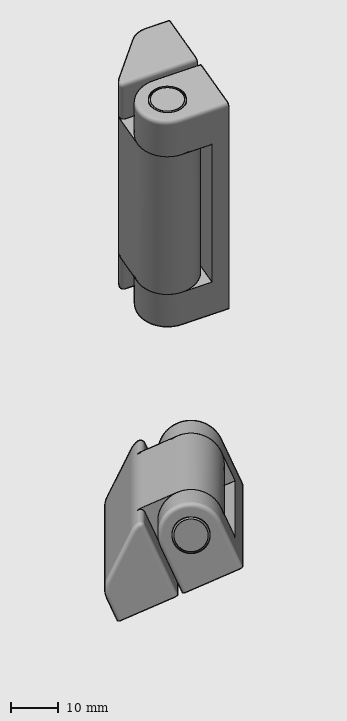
import cadquery as cq
import math

height = 60.0
depth = 18.0
leaf_width = 42 / 3
leaf_gap = leaf_width / 14
edge_radius = leaf_gap

knuckle_radius = leaf_width / 2
end_knuckle_height = height / 6
middle_height = height - 2 * end_knuckle_height
pivot_x = leaf_width + leaf_gap + knuckle_radius
pivot_y = knuckle_radius
knuckle_back = 2 * knuckle_radius

slope_angle = math.radians(40)
corner_radius = 5.0

pin_radius = 4.0
pin_chamfer = 0.4


def cover_profile(start_z, length):
    """Prism of the cover leaf: a sloping front with a tangent arc at each end."""
    cos_slope = math.cos(slope_angle)
    sin_slope = math.sin(slope_angle)
    half_turn = slope_angle / 2
    front_x = leaf_width - corner_radius * sin_slope
    front_y = corner_radius * (1 - cos_slope)
    side_x = corner_radius * (1 - sin_slope)
    side_y = front_y + (front_x - side_x) * math.tan(slope_angle)
    side_center_y = side_y + corner_radius * cos_slope
    side_mid_angle = (math.pi / 2 - slope_angle) / 2
    side_mid = (
        corner_radius * (1 - math.cos(side_mid_angle)),
        side_center_y - corner_radius * math.sin(side_mid_angle),
    )
    front_mid = (
        leaf_width - corner_radius * math.sin(half_turn),
        corner_radius * (1 - math.cos(half_turn)),
    )
    return (
        cq.Workplane("XY", origin=(0, 0, start_z))
        .moveTo(0, depth)
        .lineTo(0, side_center_y)
        .threePointArc(side_mid, (side_x, side_y))
        .lineTo(front_x, front_y)
        .threePointArc(front_mid, (leaf_width, 0))
        .lineTo(leaf_width, depth)
        .close()
        .extrude(length)
    )


def round_ends(body):
    """Round the top and bottom rims, leaving the flat back edges sharp."""
    return body.faces("<Z or >Z").edges("not >Y").fillet(edge_radius)


def pin_hole():
    return cq.Workplane("XY", origin=(pivot_x, pivot_y, 0)).circle(pin_radius).extrude(height)


def middle_knuckle():
    """Knuckle with a web to the cover leaf and a concave fillet behind the web."""
    fillet_end_x = leaf_width + edge_radius
    fillet_mid = (
        fillet_end_x - edge_radius * math.cos(math.pi / 4),
        knuckle_back + edge_radius * (1 - math.sin(math.pi / 4)),
    )
    return (
        cq.Workplane("XY", origin=(0, 0, end_knuckle_height))
        .moveTo(leaf_width, 0)
        .lineTo(pivot_x, 0)
        .threePointArc((pivot_x + knuckle_radius, pivot_y), (pivot_x, knuckle_back))
        .lineTo(fillet_end_x, knuckle_back)
        .threePointArc(fillet_mid, (leaf_width, knuckle_back + edge_radius))
        .close()
        .extrude(middle_height)
    )


def make_cover_leaf():
    front_corner = cq.selectors.NearestToPointSelector((leaf_width, 0, height / 2))
    block = cover_profile(0, height).edges(front_corner).fillet(edge_radius)
    block = round_ends(block)
    middle = cover_profile(end_knuckle_height, middle_height)
    return block.union(middle).union(middle_knuckle()).cut(pin_hole())


def make_fork_leaf():
    """Leaf with a knuckle at each end and a recess between them for the middle knuckle."""
    left_x = pivot_x - knuckle_radius
    right_x = pivot_x + knuckle_radius
    block = (
        cq.Workplane("XY")
        .moveTo(left_x, depth)
        .lineTo(left_x, pivot_y)
        .threePointArc((pivot_x, 0), (right_x, pivot_y))
        .lineTo(right_x, depth)
        .close()
        .extrude(height)
    )
    recess = (
        cq.Workplane("XY", origin=(left_x, 0, end_knuckle_height))
        .rect(leaf_width, knuckle_back, centered=False)
        .extrude(middle_height)
    )
    return round_ends(block).cut(recess).cut(pin_hole())


def make_pin():
    return pin_hole().faces("<Z or >Z").edges().chamfer(pin_chamfer)


cover_leaf = make_cover_leaf()
fork_leaf = make_fork_leaf()
pin = make_pin()

result = cq.Compound.makeCompound([cover_leaf.val(), fork_leaf.val(), pin.val()])